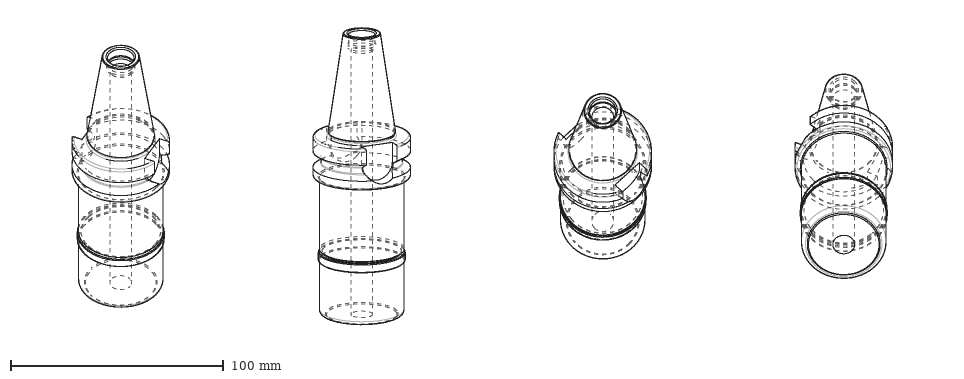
import cadquery as cq
import math

total_height = 138.4
taper_length = 48.5
relief_length = 2.0
flange_width = 20.0
gauge_z = total_height - taper_length
flange_top_z = gauge_z - relief_length
flange_bottom_z = flange_top_z - flange_width

taper_large_radius = 15.9
taper_slope = 7 / 24 / 2
taper_small_radius = taper_large_radius - taper_length * taper_slope
taper_end_chamfer = 0.4
relief_radius = 15.5
relief_fillet = 0.8

flange_radius = 23.0
flange_fillet = 1.0
groove_floor_radius = 19.1
groove_floor_fillet = 0.5
upper_rim_width = 7.6
lower_rim_width = 4.5
groove_flank_angle = 30
upper_rim_bottom_z = flange_top_z - upper_rim_width
lower_rim_top_z = flange_bottom_z + lower_rim_width
groove_flank_height = (flange_radius - groove_floor_radius) * math.tan(math.radians(groove_flank_angle))
groove_floor_top_z = upper_rim_bottom_z - groove_flank_height
groove_floor_bottom_z = lower_rim_top_z + groove_flank_height
flange_foot_radius = 20.5

body_radius = 19.9
collar_radius = 20.5
collar_top_z = 31.0
collar_bottom_z = 26.6
collar_chamfer = 0.4
collar_groove_radius = 18.7
collar_groove_height = 1.1
collar_groove_floor_height = 0.5
nose_round = 2.0
nose_chamfer = 0.5
nose_face_radius = 16.6

slot_width = 16.0
slot_floor_distance = 16.3
slot_depth = 17.5
slot_bottom_z = flange_top_z - slot_depth

bore_radius = 5.1
counterbore_radius = 6.2
counterbore_depth = 4.5
counterbore_mouth_radius = 6.9
bore_groove_radius = 6.6
bore_groove_taper_height = 1.1
bore_groove_straight_height = 1.2

rim_margin = 0.01


def fillet_rim(body, radius, z, fillet):
    """Fillet the circular edge that has the given radius and height."""
    rim = cq.selectors.BoxSelector(
        (-radius - rim_margin, -radius - rim_margin, z - rim_margin),
        (radius + rim_margin, radius + rim_margin, z + rim_margin),
        boundingbox=True,
    )
    edges = [
        edge for edge in body.edges(rim).vals()
        if edge.geomType() == "CIRCLE" and abs(edge.radius() - radius) < rim_margin
    ]
    return body.newObject(edges).fillet(fillet)


def make_body():
    """Solid of revolution about Z, before its relief, flange rims and V-groove floor are filleted."""
    shoulder_z = nose_chamfer + nose_round
    return (
        cq.Workplane("XZ")
        .polyline([
            (0, total_height),
            (taper_small_radius - taper_end_chamfer, total_height),
            (taper_small_radius, total_height - taper_end_chamfer),
            (taper_large_radius, gauge_z),
            (relief_radius, gauge_z - (taper_large_radius - relief_radius)),
            (relief_radius, flange_top_z),
            (flange_radius, flange_top_z),
            (flange_radius, upper_rim_bottom_z),
            (groove_floor_radius, groove_floor_top_z),
            (groove_floor_radius, groove_floor_bottom_z),
            (flange_radius, lower_rim_top_z),
            (flange_radius, flange_bottom_z),
            (flange_foot_radius, flange_bottom_z),
            (body_radius, flange_bottom_z - (flange_foot_radius - body_radius)),
            (body_radius, collar_top_z + collar_groove_height),
            (collar_groove_radius, collar_top_z + collar_groove_floor_height),
            (collar_groove_radius, collar_top_z),
            (collar_radius - collar_chamfer, collar_top_z),
            (collar_radius, collar_top_z - collar_chamfer),
            (collar_radius, collar_bottom_z + collar_chamfer),
            (collar_radius - collar_chamfer, collar_bottom_z),
            (body_radius, collar_bottom_z),
            (body_radius, shoulder_z),
        ])
        .radiusArc((body_radius - nose_round, nose_chamfer), nose_round)
        .lineTo(nose_face_radius + nose_chamfer, nose_chamfer)
        .lineTo(nose_face_radius, 0)
        .lineTo(0, 0)
        .close()
        .revolve(360, (0, 0, 0), (0, 1, 0))
    )


def make_bore():
    """Through bore with a chamfered counterbore and an undercut groove at the small end."""
    mouth_z = total_height - (counterbore_mouth_radius - counterbore_radius)
    counterbore_floor_z = total_height - counterbore_depth
    groove_top_z = counterbore_floor_z - bore_groove_taper_height
    groove_floor_z = groove_top_z - bore_groove_straight_height
    lead_in_height = bore_groove_radius - bore_radius
    return (
        cq.Workplane("XZ")
        .polyline([
            (0, 0),
            (bore_radius, 0),
            (bore_radius, groove_floor_z - lead_in_height),
            (bore_groove_radius, groove_floor_z),
            (bore_groove_radius, groove_top_z),
            (counterbore_radius, counterbore_floor_z),
            (counterbore_radius, mouth_z),
            (counterbore_mouth_radius, total_height),
            (0, total_height),
        ])
        .close()
        .revolve(360, (0, 0, 0), (0, 1, 0))
    )


def make_drive_slot(side):
    """Slot open at the flange top with a round lower end; side is +1 or -1 along X."""
    half_width = slot_width / 2
    arc_center_z = slot_bottom_z + half_width
    return (
        cq.Workplane("YZ")
        .workplane(offset=side * slot_floor_distance)
        .moveTo(-half_width, flange_top_z)
        .lineTo(-half_width, arc_center_z)
        .threePointArc((0, slot_bottom_z), (half_width, arc_center_z))
        .lineTo(half_width, flange_top_z)
        .close()
        .extrude(side * flange_radius)
    )


result = make_body()
for radius, z, fillet in (
    (relief_radius, flange_top_z, relief_fillet),
    (flange_radius, flange_top_z, flange_fillet),
    (flange_radius, flange_bottom_z, flange_fillet),
    (groove_floor_radius, groove_floor_top_z, groove_floor_fillet),
    (groove_floor_radius, groove_floor_bottom_z, groove_floor_fillet),
):
    result = fillet_rim(result, radius, z, fillet)

result = result.cut(make_bore())
for side in (-1, 1):
    result = result.cut(make_drive_slot(side))